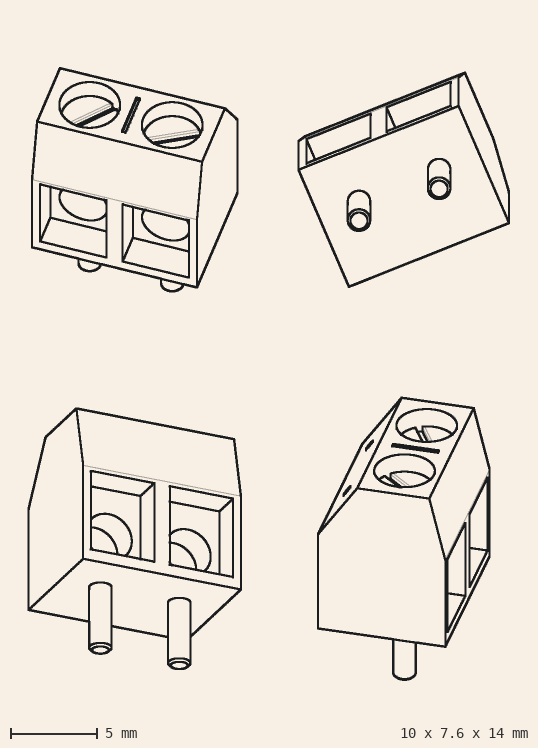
import cadquery as cq

overall_height = 14.0
pitch = 5.0
pole_count = 2
housing_width = pole_count * pitch
housing_depth = 7.6
housing_height = 10.0
front_slope_run = 0.95
front_slope_drop = 4.05
rear_slope_run = 2.35
rear_slope_drop = 3.55

screw_y = 3.1
pole_xs = [(i - (pole_count - 1) / 2) * pitch for i in range(pole_count)]

window_width = 4.0
window_height = 5.0
window_bottom = 0.7
window_depth = 1.9
bore_diameter = 2.9
bore_z = 2.7
bore_depth = 2.0

well_diameter = 3.5
head_diameter = 3.4
head_recess = 1.1
head_edge_fillet = 0.1
drive_slot_width = 0.4
drive_slot_depth = 0.4
drive_slot_angles = [50, 30]
well_depth = head_recess + drive_slot_depth

divider_width = 0.22
divider_length = 2.73
divider_depth = 0.2
test_hole_diameter = 0.4
test_hole_inset = 1.09
test_hole_floor_z = 6.0

pin_diameter = 1.3
pin_length = overall_height - housing_height
pin_chamfer = 0.15


def make_housing():
    """Block with sloped front and rear shoulders, extruded along X."""
    profile = [
        (0, 0),
        (housing_depth, 0),
        (housing_depth, housing_height - rear_slope_drop),
        (housing_depth - rear_slope_run, housing_height),
        (front_slope_run, housing_height),
        (0, housing_height - front_slope_drop),
    ]
    return cq.Workplane("YZ").polyline(profile).close().extrude(housing_width / 2, both=True)


def upright_cylinder(x, y, bottom, top, diameter):
    """Vertical cylinder between two heights."""
    return cq.Workplane("XY", origin=(x, y, bottom)).circle(diameter / 2).extrude(top - bottom)


def make_wire_entry(x):
    """Rectangular window in the front face with a round blind bore in its back wall."""
    window = (
        cq.Workplane("XY", origin=(x, 0, window_bottom))
        .box(window_width, window_depth, window_height, centered=(True, False, False))
    )
    bore = (
        cq.Workplane("XZ", origin=(x, 0, bore_z))
        .circle(bore_diameter / 2)
        .extrude(-(window_depth + bore_depth))
    )
    return window.union(bore)


def make_screw_head(x, slot_angle):
    """Two half heads on the well floor, separated by the drive slot, with rounded upper edges.

    The slot angle is in degrees from X, counterclockwise seen from above.
    """
    floor_z = housing_height - well_depth
    top_z = housing_height - head_recess
    head = upright_cylinder(0, screw_y, floor_z, top_z, head_diameter)
    slot = cq.Workplane("XY", origin=(0, screw_y, floor_z)).box(
        well_diameter, drive_slot_width, drive_slot_depth, centered=(True, True, False)
    )
    head = head.cut(slot).faces(">Z").edges().fillet(head_edge_fillet)
    return head.rotate((0, screw_y, 0), (0, screw_y, 1), slot_angle).translate((x, 0, 0))


def make_pin(x):
    """Round solder pin with a chamfered tip."""
    pin = upright_cylinder(x, screw_y, -pin_length, 0, pin_diameter)
    return pin.faces("<Z").chamfer(pin_chamfer)


result = make_housing()

for pole_x, angle in zip(pole_xs, drive_slot_angles):
    well = upright_cylinder(
        pole_x, screw_y, housing_height - well_depth, housing_height, well_diameter
    )
    test_hole = upright_cylinder(
        pole_x, housing_depth - test_hole_inset, test_hole_floor_z, housing_height, test_hole_diameter
    )
    result = result.cut(make_wire_entry(pole_x)).cut(well).cut(test_hole)
    result = result.union(make_screw_head(pole_x, angle)).union(make_pin(pole_x))

divider = cq.Workplane("XY", origin=(0, screw_y, housing_height - divider_depth)).box(
    divider_width, divider_length, divider_depth, centered=(True, True, False)
)
result = result.cut(divider)